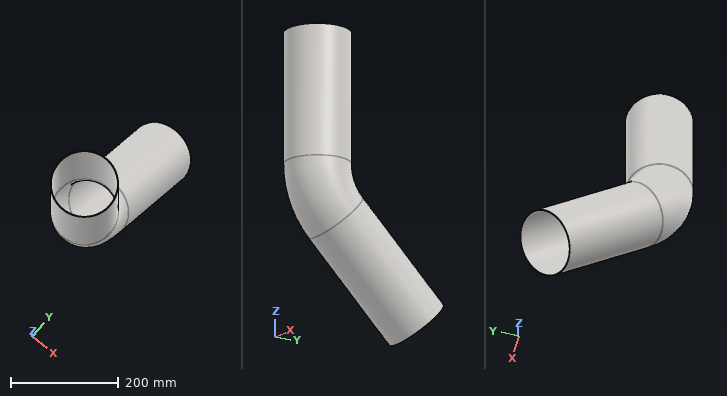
import cadquery as cq
import math

outer_diameter = 127.0
inner_diameter = 123.5
overall_height = 577.5
bend_radius = 138.5
bend_angle = 45.0

slope = math.sin(math.radians(bend_angle))
bend_height = (bend_radius + outer_diameter / 2) * slope
leg_length = (overall_height - bend_height) / (1 + slope)

bend_axis_start = (0, bend_radius, 0)
bend_axis_end = (1, bend_radius, 0)


def pipe_section():
    """Ring-shaped pipe section at the upper end of the bend."""
    return cq.Workplane("XY").circle(outer_diameter / 2).circle(inner_diameter / 2)


upper_leg = pipe_section().extrude(leg_length)

bend = pipe_section().revolve(bend_angle, bend_axis_start, bend_axis_end)

lower_leg = pipe_section().extrude(-leg_length).rotate(bend_axis_start, bend_axis_end, bend_angle)

result = upper_leg.union(bend).union(lower_leg)